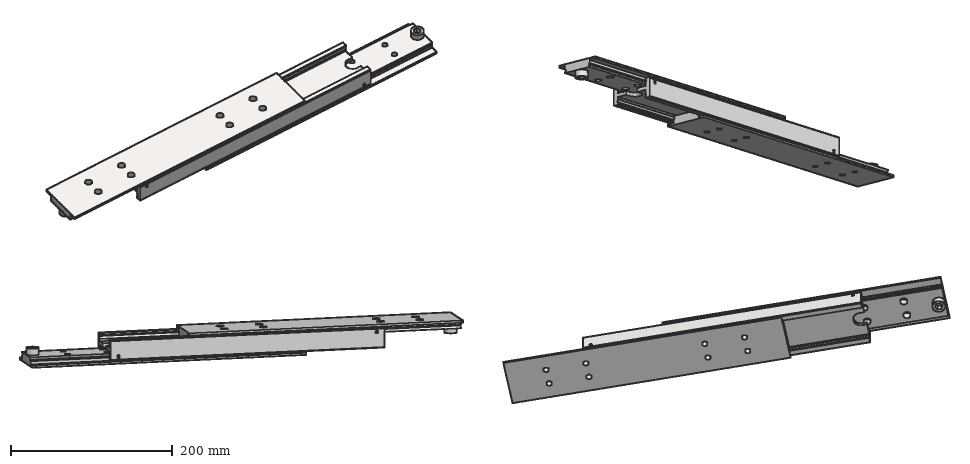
import cadquery as cq
import math


total_length = 550.0
total_height = 34.0
rail_length = 350.0
rail_offset = (total_length - rail_length) / 2

flange_width = 60.0
flange_thickness = 3.0
rail_body_width = 41.0
rail_inner_z = 5.5
rail_outer_z = total_height / 2

upper_hole_diameter = 9.0
lower_hole_diameter = 6.5
hole_spacing_x = 20.5
hole_stations_y = (75.0, 125.0)

button_diameter = 16.0
button_height = 8.0
socket_across_flats = 8.0
socket_depth = button_height

slide_width = flange_width
slide_height = 25.5
web_thickness = 5.0
channel_width = 45.0
channel_root_width = 46.0
slide_chamfer = 1.0

notch_width = 18.0
notch_depth = 15.5

groove_start_z = rail_inner_z
groove_root_z = 9.0
groove_end_z = 10.5
groove_depth = 1.25

retainer_diameter = 3.5
retainer_end_distance = 10.0
retainer_z = 7.5


def extrude_section(points):
    """Extrude an XZ outline over the rail length, centred on Y = 0."""
    return cq.Workplane("XZ").polyline(points).close().extrude(rail_length / 2, both=True)


def mirrored_outline(right_side):
    """Close a right-hand outline with its mirror image in the plane X = 0."""
    return right_side + [(-x, z) for x, z in reversed(right_side)]


def half_turn(body):
    """Turn a body half a revolution about the X axis."""
    return body.rotate((0, 0, 0), (1, 0, 0), 180)


def make_rail(hole_diameter):
    """Rail in the upper position: grooved body, flange, mounting holes and end-stop button."""
    side_x = rail_body_width / 2
    flange_z = rail_outer_z - flange_thickness
    rail = extrude_section(mirrored_outline([
        (side_x, rail_inner_z),
        (side_x - groove_depth, groove_root_z),
        (side_x, groove_end_z),
        (side_x, flange_z),
        (flange_width / 2, flange_z),
        (flange_width / 2, rail_outer_z),
    ]))

    hole_points = [
        (side * hole_spacing_x / 2, end * station)
        for side in (-1, 1)
        for end in (-1, 1)
        for station in hole_stations_y
    ]
    holes = cq.Workplane("XY").pushPoints(hole_points).circle(hole_diameter / 2).extrude(rail_outer_z)
    rail = rail.cut(holes)

    button_y = (button_diameter - rail_length) / 2
    button_tip_z = rail_inner_z - button_height
    socket_across_corners = socket_across_flats / math.cos(math.pi / 6)
    tip_plane = cq.Workplane("XY", origin=(0, button_y, button_tip_z))
    button = tip_plane.circle(button_diameter / 2).extrude(button_height)
    socket = tip_plane.transformed(rotate=(0, 0, 90)).polygon(6, socket_across_corners).extrude(socket_depth)
    rail = rail.union(button).cut(socket)

    return rail.translate((0, -rail_offset, 0))


def make_slide():
    """Central slide: H-section with ball grooves, end notches and retainer holes."""
    outer_x = slide_width / 2
    top_z = slide_height / 2
    land_x = channel_width / 2
    root_x = channel_root_width / 2
    upper_right = [
        (root_x, web_thickness / 2),
        (root_x, groove_start_z),
        (land_x, groove_start_z),
        (land_x + groove_depth, groove_root_z),
        (land_x, groove_end_z),
        (land_x, top_z),
        (outer_x - slide_chamfer, top_z),
        (outer_x, top_z - slide_chamfer),
    ]
    right_side = upper_right + [(x, -z) for x, z in reversed(upper_right)]
    slide = extrude_section(mirrored_outline(right_side))

    notch_arc_y = rail_length / 2 - notch_depth + notch_width / 2
    mouth_length = rail_length / 2 - notch_arc_y
    for end in (-1, 1):
        round_end = (
            cq.Workplane("XY", origin=(0, end * notch_arc_y, 0))
            .circle(notch_width / 2)
            .extrude(web_thickness / 2, both=True)
        )
        mouth = cq.Workplane("XY", origin=(0, end * (notch_arc_y + mouth_length / 2), 0)).box(
            notch_width, mouth_length, web_thickness
        )
        slide = slide.cut(round_end.union(mouth))

        retainer_y = end * (rail_length / 2 - retainer_end_distance)
        retainer_hole = (
            cq.Workplane("YZ")
            .center(retainer_y, -end * retainer_z)
            .circle(retainer_diameter / 2)
            .extrude(slide_width / 2, both=True)
        )
        slide = slide.cut(retainer_hole)
    return slide


upper_rail = make_rail(upper_hole_diameter)
lower_rail = half_turn(make_rail(lower_hole_diameter))
slide = make_slide()

result = cq.Compound.makeCompound([upper_rail.val(), lower_rail.val(), slide.val()])